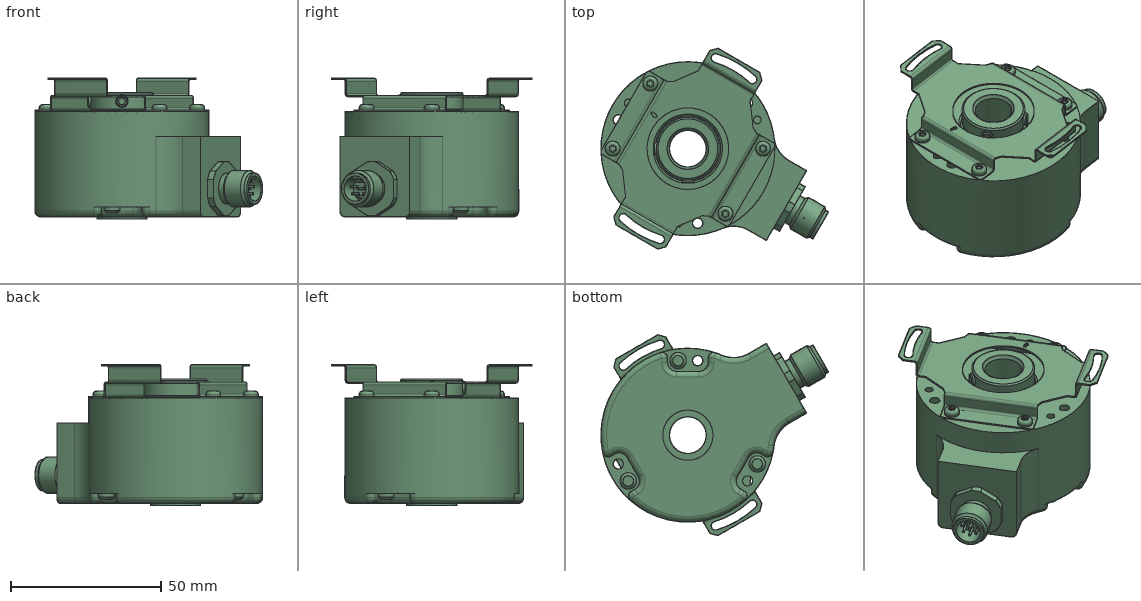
import cadquery as cq
import math

CONNECTOR_DIRECTION = -30.0
OVERALL_LENGTH = 75.8

HOUSING_TOP = 35.0
BLOCK_TOP = 26.8
PLATE_TOP = 40.45
TAB_TOP = 46.15
COLLAR_TOP = 41.45
SHAFT_BOTTOM = -0.75

HOUSING_RADIUS = 28.95
BLOCK_FACE = 37.9
BLOCK_HALF_WIDTH = 13.4
BLOCK_BLEND = 10.0
BOTTOM_FILLET = 1.9

POCKET_ANGLES = (60.0, 180.0, 300.0)
POCKET_DEPTH = 3.3
POCKET_HALF_WIDTH = 6.75
POCKET_INNER = 21.2
POCKET_CORNER = 3.0
POCKET_MOUTH_FILLET = BOTTOM_FILLET
BOLT_CIRCLE = 25.0
HOLE_OFFSET_ANGLE = 7.5
THROUGH_HOLE_RADIUS = 1.7
BLIND_HOLE_RADIUS = 1.3
BLIND_HOLE_DEPTH = 6.05
EXTRA_HOLE_ANGLE = 270.0
EXTRA_LARGE_HOLE_PLACE = 21.3
EXTRA_SMALL_HOLE_RADIUS = 1.05
COVER_HEAD_RADIUS = 2.7
COVER_HEAD_HEIGHT = 2.1
COVER_HEAD_CHAMFER = 1.0

BORE_RADIUS = 6.05
BORE_CONE_RADIUS = 6.7
BORE_CONE_DEPTH = 1.05
BORE_CHAMFER = 0.2
SHAFT_END_RADIUS = 8.3
COLLAR_RADIUS = 10.45
COLLAR_CHAMFER = 0.5
COLLAR_BOTTOM = 35.4
COLLAR_NECK_RADIUS = 9.7
GROOVE_RADIUS = 10.9
GROOVE_DEPTH = 1.1
GROOVE_CHAMFER = 0.6
SET_SCREW_ANGLES = (210.0, 300.0)
SET_SCREW_HEIGHT = 38.5
SET_SCREW_RADIUS = 2.05
SET_SCREW_CHAMFER = 0.4
SET_SCREW_TIP = 11.45
SET_SCREW_SOCKET_WIDTH = 2.4
SET_SCREW_SOCKET_DEPTH = 1.1

SHEET = 0.5
BEND_INSIDE = 0.5
BEND_OUTSIDE = BEND_INSIDE + SHEET
PLATE_HOLE_RADIUS = 13.6
FOOT_BEND_START = 17.3
FOOT_HALF_WIDTH = 15.9
FOOT_END = 24.7
FOOT_CORNER = 0.75
FOOT_LOWER_BEND = 0.8
TAB_BEND_START = 26.45
TAB_HALF_WIDTH = 10.0
TAB_END = 33.95
TAB_CORNER = 2.0
TAB_SLOT_RADIUS = 31.5
TAB_SLOT_WIDTH = 2.8
TAB_SLOT_HALF_ANGLE = 13.0
PLATE_SHOULDER = (15.3, 16.9)
PLATE_WAIST = (9.9, 24.25)
MARK_PLACE = 15.9
MARK_ANGLE = 165.0
MARK_LENGTH = 2.3
MARK_WIDTH = 1.05

FOOT_SCREW_ANGLES = (30.0, 150.0, 210.0, 330.0)
FOOT_HEAD_RADIUS = 2.5
FOOT_HEAD_HEIGHT = 1.9
FOOT_HEAD_ROUNDING = 1.2
STAR_SOCKET_RADIUS = 0.9
STAR_LOBE_RADIUS = 0.3
STAR_LOBES = 6
STAR_SOCKET_DEPTH = 0.9

CONNECTOR_HEIGHT = 9.4
NUT_END = 40.15
NUT_HALF_FLATS = 8.55
NUT_CORNER_RADIUS = 9.1
NECK_RADIUS = 5.15
NECK_END = 42.0
BARREL_RADIUS = 6.05
BARREL_START = 42.9
BARREL_END = 49.1
TIP_RADIUS = 5.2
TIP_START = 49.9
TURN = math.radians(abs(CONNECTOR_DIRECTION))
TIP_END = (OVERALL_LENGTH - HOUSING_RADIUS - TIP_RADIUS * math.sin(TURN)) / math.cos(TURN)
SOCKET_RADIUS = 4.2
SOCKET_DEPTH = 6.05
KEY_WIDTH = 1.3
KEY_DEPTH = 0.9
KEY_SETBACK = 0.3
PIN_COUNT = 7
PIN_CIRCLE = 2.7
PIN_RADIUS = 0.4
PIN_SETBACK = 1.9

OVERLAP = 0.4


def polar(radius, angle):
    return (radius * math.cos(math.radians(angle)), radius * math.sin(math.radians(angle)))


def cylinder(radius, bottom, top, place=(0, 0)):
    return cq.Workplane("XY", origin=(*place, bottom)).circle(radius).extrude(top - bottom)


def x_cylinder(radius, start, end, y=0.0, z=CONNECTOR_HEIGHT):
    return cq.Workplane("YZ", origin=(start, y, z)).circle(radius).extrude(end - start)



def connector_block(height):
    """Block blended into the round housing by two concave arcs."""
    reach = HOUSING_RADIUS + BLOCK_BLEND
    center_y = BLOCK_HALF_WIDTH + BLOCK_BLEND
    center_x = math.sqrt(reach**2 - center_y**2)
    tangent_x = center_x * HOUSING_RADIUS / reach
    tangent_y = center_y * HOUSING_RADIUS / reach
    tangent_angle = math.degrees(math.atan2(-center_y, -center_x))
    step_x, step_y = polar(BLOCK_BLEND, (tangent_angle - 90) / 2)
    mid_x = center_x + step_x
    mid_y = center_y + step_y
    return (
        cq.Workplane("XY")
        .moveTo(tangent_x, tangent_y)
        .threePointArc((mid_x, mid_y), (center_x, BLOCK_HALF_WIDTH))
        .lineTo(BLOCK_FACE, BLOCK_HALF_WIDTH)
        .lineTo(BLOCK_FACE, -BLOCK_HALF_WIDTH)
        .lineTo(center_x, -BLOCK_HALF_WIDTH)
        .threePointArc((mid_x, -mid_y), (tangent_x, -tangent_y))
        .lineTo(0, 0)
        .close()
        .extrude(height)
    )


def bottom_pocket(angle):
    """Recess open to the outside of the housing."""
    length = HOUSING_RADIUS
    return (
        cq.Workplane("XY")
        .center(POCKET_INNER + length / 2, 0)
        .rect(length, 2 * POCKET_HALF_WIDTH)
        .extrude(POCKET_DEPTH)
        .edges("|Z and <X")
        .fillet(POCKET_CORNER)
        .rotate((0, 0, 0), (0, 0, 1), angle)
    )


def housing_base():
    """Lowest layer of the housing, holding the recesses and the rounded lower edge."""
    base = cylinder(HOUSING_RADIUS, 0, POCKET_DEPTH).union(connector_block(POCKET_DEPTH))
    for angle in POCKET_ANGLES:
        base = base.cut(bottom_pocket(angle))
    mouth_x = math.sqrt(HOUSING_RADIUS**2 - POCKET_HALF_WIDTH**2)
    mouth_half_angle = math.degrees(math.atan2(POCKET_HALF_WIDTH, mouth_x))
    for angle in POCKET_ANGLES:
        for side in (-1, 1):
            place = polar(HOUSING_RADIUS, angle + side * mouth_half_angle)
            corner = cq.selectors.NearestToPointSelector((*place, POCKET_DEPTH / 2))
            base = base.edges(corner).fillet(POCKET_MOUTH_FILLET)
    return base.faces("<Z").edges("not(>X)").fillet(BOTTOM_FILLET)


def top_hole(radius, depth, distance, angle):
    return cylinder(radius, HOUSING_TOP - depth, HOUSING_TOP, polar(distance, angle))


def make_housing():
    housing = housing_base()
    housing = housing.union(cylinder(HOUSING_RADIUS, POCKET_DEPTH, HOUSING_TOP))
    upper_block = connector_block(BLOCK_TOP - POCKET_DEPTH).translate((0, 0, POCKET_DEPTH))
    housing = housing.union(upper_block)
    for angle in POCKET_ANGLES:
        small_angle = angle - HOLE_OFFSET_ANGLE
        large_angle = angle + HOLE_OFFSET_ANGLE
        housing = housing.cut(top_hole(BLIND_HOLE_RADIUS, BLIND_HOLE_DEPTH, BOLT_CIRCLE, small_angle))
        housing = housing.cut(top_hole(THROUGH_HOLE_RADIUS, HOUSING_TOP, BOLT_CIRCLE, large_angle))
        cover_head = (
            cylinder(COVER_HEAD_RADIUS, POCKET_DEPTH - COVER_HEAD_HEIGHT, POCKET_DEPTH)
            .faces("<Z")
            .edges()
            .chamfer(COVER_HEAD_CHAMFER)
        )
        housing = housing.union(cover_head.translate((*polar(BOLT_CIRCLE, small_angle), 0)))
    for radius, distance in (
        (THROUGH_HOLE_RADIUS, EXTRA_LARGE_HOLE_PLACE),
        (EXTRA_SMALL_HOLE_RADIUS, BOLT_CIRCLE),
    ):
        housing = housing.cut(top_hole(radius, BLIND_HOLE_DEPTH, distance, EXTRA_HOLE_ANGLE))
    return housing



def set_screw(angle):
    screw = x_cylinder(SET_SCREW_RADIUS, BORE_RADIUS + OVERLAP, SET_SCREW_TIP, z=SET_SCREW_HEIGHT)
    screw = screw.faces(">X").edges().chamfer(SET_SCREW_CHAMFER)
    socket = (
        cq.Workplane("YZ", origin=(SET_SCREW_TIP - SET_SCREW_SOCKET_DEPTH, 0, SET_SCREW_HEIGHT))
        .polygon(6, SET_SCREW_SOCKET_WIDTH)
        .extrude(SET_SCREW_SOCKET_DEPTH)
    )
    return screw.cut(socket).rotate((0, 0, 0), (0, 0, 1), angle)


def make_shaft():
    """Collar on a narrower neck, and the shaft end below the housing."""
    collar = cylinder(COLLAR_RADIUS, COLLAR_BOTTOM, COLLAR_TOP)
    collar = collar.faces("<Z or >Z").edges().chamfer(COLLAR_CHAMFER)
    neck = cylinder(COLLAR_NECK_RADIUS, HOUSING_TOP - OVERLAP, COLLAR_BOTTOM)
    shaft_end = cylinder(SHAFT_END_RADIUS, SHAFT_BOTTOM, OVERLAP)
    return collar.union(neck).union(shaft_end)


def shaft_groove():
    """Ring-shaped gap in the housing top around the neck, chamfered outside."""
    return (
        cq.Workplane("XZ")
        .moveTo(COLLAR_NECK_RADIUS, HOUSING_TOP)
        .lineTo(GROOVE_RADIUS + GROOVE_CHAMFER, HOUSING_TOP)
        .lineTo(GROOVE_RADIUS, HOUSING_TOP - GROOVE_CHAMFER)
        .lineTo(GROOVE_RADIUS, HOUSING_TOP - GROOVE_DEPTH)
        .lineTo(COLLAR_NECK_RADIUS, HOUSING_TOP - GROOVE_DEPTH)
        .close()
        .revolve(360, (0, 0, 0), (0, 1, 0))
    )


def shaft_bore():
    """Through bore with a short conical entry and a chamfered rim."""
    return (
        cq.Workplane("XZ")
        .moveTo(0, SHAFT_BOTTOM)
        .lineTo(BORE_RADIUS, SHAFT_BOTTOM)
        .lineTo(BORE_RADIUS, COLLAR_TOP - BORE_CONE_DEPTH)
        .lineTo(BORE_CONE_RADIUS, COLLAR_TOP - BORE_CHAMFER)
        .lineTo(BORE_CONE_RADIUS + BORE_CHAMFER, COLLAR_TOP)
        .lineTo(0, COLLAR_TOP)
        .close()
        .revolve(360, (0, 0, 0), (0, 1, 0))
    )



def folded_strip(bend_start, end, end_top, half_width, end_bend=BEND_INSIDE):
    """Strip along +X that leaves the plate, folds to another level and runs flat to its end."""
    wall_near = bend_start + BEND_INSIDE
    if end_top < PLATE_TOP:
        wall_outside = PLATE_TOP, end_top
        wall_inside = PLATE_TOP - SHEET, end_top - SHEET
    else:
        wall_outside = PLATE_TOP - SHEET, end_top - SHEET
        wall_inside = PLATE_TOP, end_top
    wall_far = wall_near + SHEET
    start = bend_start - OVERLAP
    strip = (
        cq.Workplane("XZ", origin=(0, half_width, 0))
        .moveTo(start, wall_outside[0])
        .lineTo(wall_far, wall_outside[0])
        .lineTo(wall_far, wall_outside[1])
        .lineTo(end, wall_outside[1])
        .lineTo(end, wall_inside[1])
        .lineTo(wall_near, wall_inside[1])
        .lineTo(wall_near, wall_inside[0])
        .lineTo(start, wall_inside[0])
        .close()
        .extrude(2 * half_width)
    )
    bends = (
        (wall_far, wall_outside[0], BEND_OUTSIDE),
        (wall_far, wall_outside[1], end_bend),
        (wall_near, wall_inside[1], BEND_OUTSIDE),
        (wall_near, wall_inside[0], BEND_INSIDE),
    )
    for x, z, radius in bends:
        strip = strip.edges(cq.selectors.NearestToPointSelector((x, 0, z))).fillet(radius)
    return strip


def make_foot():
    foot_top = HOUSING_TOP + SHEET
    foot = folded_strip(FOOT_BEND_START, FOOT_END, foot_top, FOOT_HALF_WIDTH, FOOT_LOWER_BEND)
    foot = foot.edges("|Z and >X").fillet(FOOT_CORNER)
    return foot.intersect(cylinder(HOUSING_RADIUS, 0, TAB_TOP))


def make_tab():
    """Upright tab with a slot curved about the shaft axis."""
    tab = folded_strip(TAB_BEND_START, TAB_END, TAB_TOP, TAB_HALF_WIDTH)
    tab = tab.edges("|Z and >X").chamfer(TAB_CORNER)
    outer = TAB_SLOT_RADIUS + TAB_SLOT_WIDTH / 2
    inner = TAB_SLOT_RADIUS - TAB_SLOT_WIDTH / 2
    slot = (
        cq.Workplane("XY", origin=(0, 0, TAB_TOP - SHEET))
        .moveTo(*polar(outer, -TAB_SLOT_HALF_ANGLE))
        .threePointArc((outer, 0), polar(outer, TAB_SLOT_HALF_ANGLE))
        .lineTo(*polar(inner, TAB_SLOT_HALF_ANGLE))
        .threePointArc((inner, 0), polar(inner, -TAB_SLOT_HALF_ANGLE))
        .close()
        .extrude(SHEET)
    )
    for end_angle in (-TAB_SLOT_HALF_ANGLE, TAB_SLOT_HALF_ANGLE):
        place = polar(TAB_SLOT_RADIUS, end_angle)
        slot = slot.union(cylinder(TAB_SLOT_WIDTH / 2, TAB_TOP - SHEET, TAB_TOP, place))
    return tab.cut(slot)


def make_spring_plate():
    quarter = [
        (FOOT_BEND_START, FOOT_HALF_WIDTH),
        PLATE_SHOULDER,
        PLATE_WAIST,
        (TAB_HALF_WIDTH, TAB_BEND_START),
    ]
    right_half = [(x, -y) for x, y in reversed(quarter)] + quarter
    left_half = [(-x, -y) for x, y in right_half]
    plate = (
        cq.Workplane("XY", origin=(0, 0, PLATE_TOP - SHEET))
        .polyline(right_half + left_half)
        .close()
        .extrude(SHEET)
    )
    for turn in (0, 180):
        plate = plate.union(make_foot().rotate((0, 0, 0), (0, 0, 1), turn))
        plate = plate.union(make_tab().rotate((0, 0, 0), (0, 0, 1), turn + 90))
    plate = plate.cut(cylinder(PLATE_HOLE_RADIUS, PLATE_TOP - SHEET, PLATE_TOP))
    mark = (
        cq.Workplane("XY", origin=(0, 0, PLATE_TOP - SHEET))
        .center(MARK_PLACE, 0)
        .slot2D(MARK_LENGTH, MARK_WIDTH)
        .extrude(SHEET)
        .rotate((0, 0, 0), (0, 0, 1), MARK_ANGLE)
    )
    return plate.cut(mark)


def foot_screw(angle):
    """Button head with a six-lobed star socket."""
    bottom = HOUSING_TOP
    top = HOUSING_TOP + SHEET + FOOT_HEAD_HEIGHT
    head = cylinder(FOOT_HEAD_RADIUS, bottom, top).faces(">Z").edges().fillet(FOOT_HEAD_ROUNDING)
    head = head.cut(cylinder(STAR_SOCKET_RADIUS, top - STAR_SOCKET_DEPTH, top))
    for lobe in range(STAR_LOBES):
        place = polar(STAR_SOCKET_RADIUS, lobe * 360 / STAR_LOBES)
        head = head.cut(cylinder(STAR_LOBE_RADIUS, top - STAR_SOCKET_DEPTH, top, place))
    return head.translate((*polar(BOLT_CIRCLE, angle), 0))



def make_connector():
    nut = (
        cq.Workplane("YZ", origin=(BLOCK_FACE - OVERLAP, 0, CONNECTOR_HEIGHT))
        .polygon(6, 2 * NUT_HALF_FLATS, circumscribed=True)
        .extrude(NUT_END - BLOCK_FACE + OVERLAP)
        .intersect(x_cylinder(NUT_CORNER_RADIUS, 0, NUT_END))
    )
    barrel = (
        cq.Workplane("XY")
        .moveTo(BLOCK_FACE, 0)
        .lineTo(BLOCK_FACE, NECK_RADIUS)
        .lineTo(NECK_END, NECK_RADIUS)
        .lineTo(BARREL_START, BARREL_RADIUS)
        .lineTo(BARREL_END, BARREL_RADIUS)
        .lineTo(TIP_START, TIP_RADIUS)
        .lineTo(TIP_END, TIP_RADIUS)
        .lineTo(TIP_END, 0)
        .close()
        .revolve(360, (0, 0, 0), (1, 0, 0))
        .translate((0, 0, CONNECTOR_HEIGHT))
    )
    floor = TIP_END - SOCKET_DEPTH
    key = (
        cq.Workplane("YZ", origin=(floor, 0, CONNECTOR_HEIGHT + SOCKET_RADIUS))
        .rect(KEY_WIDTH, 2 * KEY_DEPTH)
        .extrude(SOCKET_DEPTH - KEY_SETBACK)
    )
    connector = nut.union(barrel).cut(x_cylinder(SOCKET_RADIUS, floor, TIP_END).cut(key))
    pin_places = [(0, 0)]
    for index in range(PIN_COUNT):
        pin_places.append(polar(PIN_CIRCLE, 270 + index * 360 / PIN_COUNT))
    for y, z in pin_places:
        pin = x_cylinder(PIN_RADIUS, floor - OVERLAP, TIP_END - PIN_SETBACK, y, CONNECTOR_HEIGHT + z)
        connector = connector.union(pin)
    return connector



encoder = make_housing().cut(shaft_groove()).union(make_shaft())
for screw_angle in SET_SCREW_ANGLES:
    encoder = encoder.union(set_screw(screw_angle))
encoder = encoder.cut(shaft_bore())
encoder = encoder.union(make_spring_plate())
for screw_angle in FOOT_SCREW_ANGLES:
    encoder = encoder.union(foot_screw(screw_angle))
encoder = encoder.union(make_connector())

result = encoder.rotate((0, 0, 0), (0, 0, 1), CONNECTOR_DIRECTION)